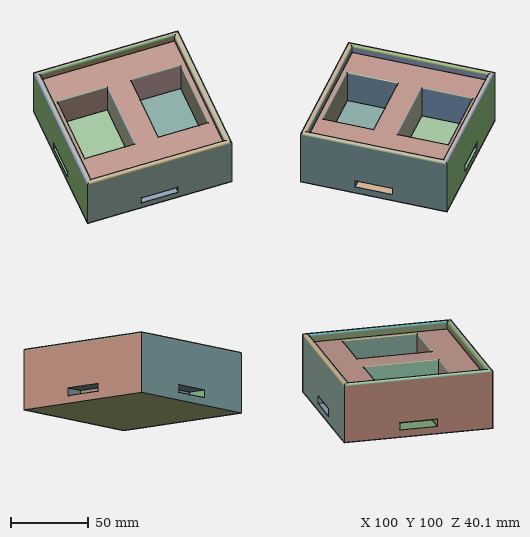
import cadquery as cq

inch = 25.4
unit = inch / 10
side = 100.0
height = 40.08

rim_height = 2 * unit
rim_round = unit / 2
rim_thickness = 3 * rim_round
floor_z = height - rim_height

pocket_length = 50.08
pocket_width = 34.3
pocket_depth = 9 * unit
pocket_spacing = 2 * inch
pocket_edge_round = unit / 5

slot_length = inch
slot_height = 2 * unit
slot_base_z = 2 * unit
slot_depth = inch / 2


def block(length, width, tall, base_z):
    """Box centred on the Z axis, standing on base_z."""
    box = cq.Workplane("XY").box(length, width, tall, centered=(True, True, False))
    return box.translate((0, 0, base_z))


def rimmed_block():
    opening = side - 2 * rim_thickness
    body = block(side, side, height, 0)
    body = body.cut(block(opening, opening, rim_height, floor_z))
    return body.faces(">Z").edges().fillet(rim_round)


def cut_pockets(body):
    pocket_base_z = floor_z - pocket_depth
    pocket = block(pocket_length, pocket_width, pocket_depth, pocket_base_z)
    for direction in (-1, 1):
        body = body.cut(pocket.translate((0, direction * pocket_spacing / 2, 0)))
    floor_face = body.faces(cq.selectors.NearestToPointSelector((0, 0, floor_z)))
    mouths = [edge for wire in floor_face.val().innerWires() for edge in wire.Edges()]
    return body.newObject(mouths).fillet(pocket_edge_round)


def cut_side_slots(body):
    slot = block(slot_length, slot_depth, slot_height, slot_base_z)
    slot = slot.translate((0, (slot_depth - side) / 2, 0))
    for angle in (0, 90, 180, 270):
        body = body.cut(slot.rotate((0, 0, 0), (0, 0, 1), angle))
    return body


result = cut_side_slots(cut_pockets(rimmed_block()))